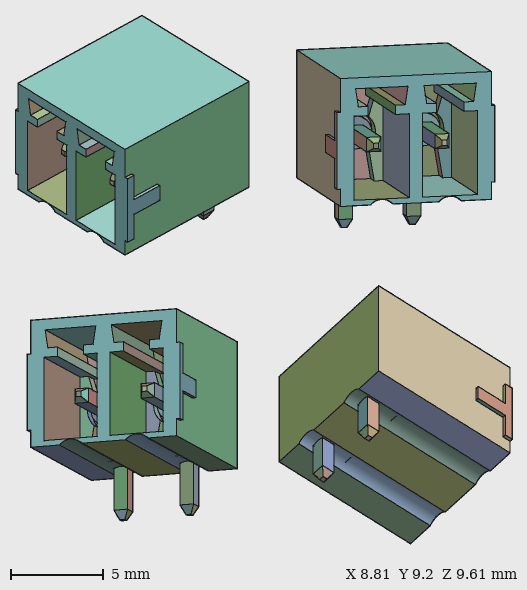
import cadquery as cq
import math


housing_width = 8.43
housing_depth = 9.2
housing_height = 7.01

pitch = 3.815
axis_z = 3.01
pin_xs = [-pitch / 2, pitch / 2]

pin_size = 0.8
tip_size = 0.3
tip_length = 0.5
pin_setback = 1.2
overall_height = 9.61
tail_length = overall_height - housing_height
tail_inset = 1.2
tail_y = housing_depth - tail_inset

cavity_width = 3.08
cavity_depth = 6.25
floor_z = 0.31
rail_bottom_z = 4.9
rail_thickness = 0.51
rail_top_z = rail_bottom_z + rail_thickness
rail_gap = 1.52
slot_top_z = 6.41
slot_bottom_width = 2.61
slot_top_width = 2.92

relief_projection = 0.77
boss_diameter = 1.8
clearance_radius = 1.105
channel_end_width = 2.08
channel_waist = 1.44

side_rail_z = 3.05
flange_thickness = 0.19
flange_length = 0.5
flange_height = 4.2
tab_length = 2.4
tab_height = 0.98
groove_width = 1.27
groove_height = 0.28


def front_sketch(y):
    """Workplane at depth y with local X, Y along X, Z; extruding by a negative length goes towards +Y."""
    return cq.Workplane("XZ", origin=(0, y, 0))


def block(x_size, y_range, z_range, x=0.0):
    """Box centred on x that spans the given ranges in Y and Z."""
    return cq.Workplane("XY").box(
        x_size, y_range[1] - y_range[0], z_range[1] - z_range[0], centered=(True, False, False)
    ).translate((x, y_range[0], z_range[0]))


def make_bar(length, height):
    """Bar behind the mating face that stands out on both sides of the housing."""
    full_width = housing_width + 2 * flange_thickness
    return block(full_width, (0, length), (side_rail_z - height / 2, side_rail_z + height / 2))


def make_side_rails():
    """T-shaped rails on both sides: an upright flange at the mating face and a tab running back."""
    return make_bar(flange_length, flange_height).union(make_bar(tab_length, tab_height))


def make_cavity(x):
    """Mating cavity with a flared keying slot above two ledges."""
    chamber = block(cavity_width, (0, cavity_depth), (floor_z, rail_bottom_z), x)
    neck = block(rail_gap, (0, cavity_depth), (rail_bottom_z, rail_top_z), x)
    slot = (
        front_sketch(0)
        .polyline([
            (x - slot_bottom_width / 2, rail_top_z),
            (x + slot_bottom_width / 2, rail_top_z),
            (x + slot_top_width / 2, slot_top_z),
            (x - slot_top_width / 2, slot_top_z),
        ])
        .close()
        .extrude(-cavity_depth)
    )
    return chamber.union(neck).union(slot)


def make_relief(x):
    """Pads on the back wall, parted by a waisted channel, and the round boss that carries the pin."""
    relief_y = cavity_depth - relief_projection
    waist_rise = math.sqrt(clearance_radius**2 - (channel_waist / 2) ** 2)
    end = channel_end_width / 2
    waist = channel_waist / 2
    channel = (
        front_sketch(relief_y)
        .moveTo(x - end, floor_z)
        .lineTo(x + end, floor_z)
        .lineTo(x + waist, axis_z - waist_rise)
        .threePointArc((x + clearance_radius, axis_z), (x + waist, axis_z + waist_rise))
        .lineTo(x + end, rail_bottom_z)
        .lineTo(x - end, rail_bottom_z)
        .lineTo(x - waist, axis_z + waist_rise)
        .threePointArc((x - clearance_radius, axis_z), (x - waist, axis_z - waist_rise))
        .close()
        .extrude(-relief_projection)
    )
    boss = front_sketch(relief_y).center(x, axis_z).circle(boss_diameter / 2).extrude(-relief_projection)
    pads = block(cavity_width, (relief_y, cavity_depth), (floor_z, rail_bottom_z), x).cut(channel)
    return pads.union(boss)


def make_groove(x):
    """Shallow arched groove along the underside below a pin."""
    return (
        front_sketch(0)
        .moveTo(x - groove_width / 2, 0)
        .threePointArc((x, groove_height), (x + groove_width / 2, 0))
        .close()
        .extrude(-housing_depth)
    )


def make_tip(plane):
    """Truncated pyramid that narrows from the pin section along the plane normal."""
    return (
        cq.Workplane(plane)
        .rect(pin_size, pin_size)
        .workplane(offset=tip_length)
        .rect(tip_size, tip_size)
        .loft()
    )


def make_pin(x):
    """Right-angled square pin: contact arm along Y and solder tail down to -Z."""
    half = pin_size / 2
    arm_start = pin_setback + tip_length
    tail_end = tip_length - tail_length
    arm = block(pin_size, (arm_start, tail_y + half), (axis_z - half, axis_z + half), x)
    tail = block(pin_size, (tail_y - half, tail_y + half), (tail_end, axis_z + half), x)
    arm_tip = make_tip(cq.Plane(origin=(x, arm_start, axis_z), xDir=(1, 0, 0), normal=(0, -1, 0)))
    tail_tip = make_tip(cq.Plane(origin=(x, tail_y, tail_end), xDir=(1, 0, 0), normal=(0, 0, -1)))
    return arm.union(tail).union(arm_tip).union(tail_tip)


def make_housing(pins):
    """Housing with its cavities and grooves, and a fitting passage for every pin."""
    housing = block(housing_width, (0, housing_depth), (0, housing_height)).union(make_side_rails())
    for x in pin_xs:
        housing = housing.cut(make_cavity(x)).union(make_relief(x)).cut(make_groove(x))
    for pin in pins:
        housing = housing.cut(pin)
    return housing


pins = [make_pin(x) for x in pin_xs]
housing = make_housing(pins)

result = cq.Compound.makeCompound([body.solids().val() for body in [housing, *pins]])